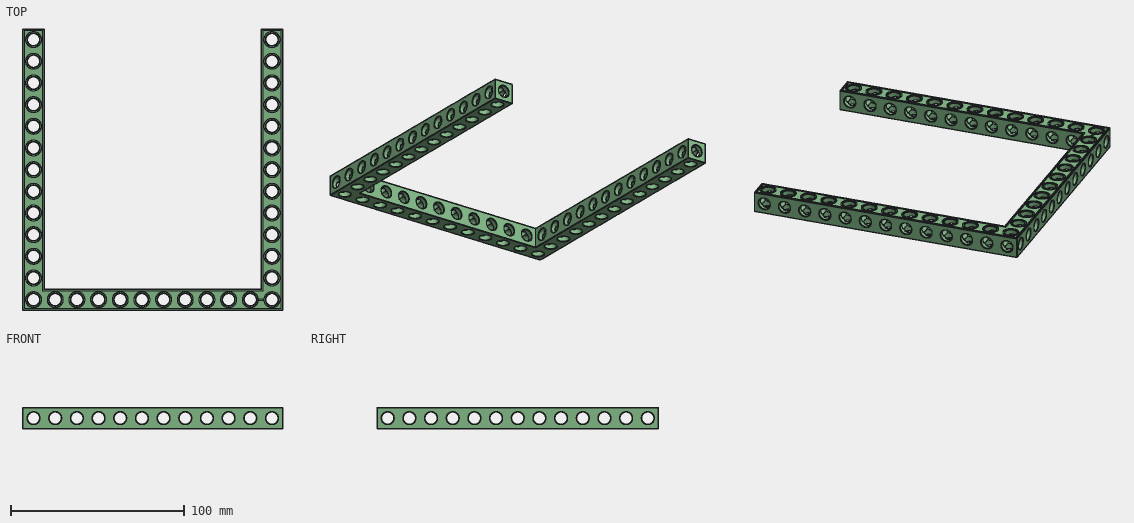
import cadquery as cq

PITCH = 12.5
CROSS_HOLES = 12
LEG_HOLES = 13
HOLE_DIAMETER = 7.0
LONG_HOLE_DIAMETER = 6.98
EDGE_CHAMFER = 0.3
RIM_DIAMETER = 9.2
RECESS_DEPTH = 0.2
BAR_LENGTH = 3.0

WIDTH = CROSS_HOLES * PITCH
LENGTH = LEG_HOLES * PITCH
HEIGHT = PITCH
MID_HEIGHT = HEIGHT / 2

RIM = (RIM_DIAMETER - HOLE_DIAMETER) / 2
BAR_WIDTH = RIM - EDGE_CHAMFER

CROSS_X = [(i + 0.5) * PITCH for i in range(CROSS_HOLES)]
LEG_Y = [(i + 0.5) * PITCH for i in range(LEG_HOLES)]
LEG_X = [CROSS_X[0], CROSS_X[-1]]
CROSS_Y = LEG_Y[0]
VERTICAL_HOLES = [(x, CROSS_Y) for x in CROSS_X]
VERTICAL_HOLES += [(x, y) for x in LEG_X for y in LEG_Y[1:]]


def u_prism(inset, bottom, height):
    """U-shaped prism, open towards +Y, with its outline moved inwards by inset."""
    left = inset
    right = WIDTH - inset
    inner_left = PITCH - inset
    inner_right = WIDTH - inner_left
    front = inset
    inner_front = PITCH - inset
    back = LENGTH - inset
    outline = [
        (left, front),
        (right, front),
        (right, back),
        (inner_right, back),
        (inner_right, inner_front),
        (inner_left, inner_front),
        (inner_left, back),
        (left, back),
    ]
    return cq.Workplane("XY").workplane(offset=bottom).polyline(outline).close().extrude(height)


def frame():
    """Solid frame with every outside edge chamfered; the two inner corners stay sharp."""
    body = u_prism(0, 0, HEIGHT)
    inner_corners = cq.selectors.BoxSelector(
        (PITCH / 2, PITCH / 2, HEIGHT / 4),
        (WIDTH - PITCH / 2, PITCH * 3 / 2, HEIGHT * 3 / 4),
    )
    return body.edges(cq.selectors.InverseSelector(inner_corners)).chamfer(EDGE_CHAMFER)


def hole(start, direction, length, diameter=HOLE_DIAMETER):
    """Cutter for a through hole, with a chamfered mouth at both ends."""
    radius = diameter / 2
    mouth = radius + EDGE_CHAMFER
    near = cq.Vector(*start)
    axis = cq.Vector(*direction)
    far = near + axis * length
    bore = cq.Solid.makeCylinder(radius, length, near, axis)
    near_mouth = cq.Solid.makeCone(mouth, radius, EDGE_CHAMFER, near, axis)
    far_mouth = cq.Solid.makeCone(mouth, radius, EDGE_CHAMFER, far, axis * -1)
    return bore.fuse(near_mouth, far_mouth)


def hole_cutters():
    """Holes along Z in every bar, across every bar, and lengthwise through every bar."""
    cutters = [hole((x, y, 0), (0, 0, 1), HEIGHT) for x, y in VERTICAL_HOLES]
    for x in CROSS_X[1:-1]:
        cutters.append(hole((x, 0, MID_HEIGHT), (0, 1, 0), PITCH))
    for y in LEG_Y[1:]:
        for leg_side in (0, WIDTH - PITCH):
            cutters.append(hole((leg_side, y, MID_HEIGHT), (1, 0, 0), PITCH))
    for x in LEG_X:
        cutters.append(hole((x, 0, MID_HEIGHT), (0, 1, 0), LENGTH, LONG_HOLE_DIAMETER))
    cutters.append(hole((0, CROSS_Y, MID_HEIGHT), (1, 0, 0), WIDTH, LONG_HOLE_DIAMETER))
    return cutters


def top_recess():
    """Shallow recess in the top face, inside an edge rim and around a ring at each hole."""
    floor = HEIGHT - RECESS_DEPTH
    rings = (
        cq.Workplane("XY")
        .workplane(offset=floor)
        .pushPoints(VERTICAL_HOLES)
        .circle(RIM_DIAMETER / 2)
        .extrude(RECESS_DEPTH)
    )
    short_bar = (
        cq.Workplane("XY")
        .workplane(offset=floor)
        .center((CROSS_X[-2] + CROSS_X[-1]) / 2, CROSS_Y)
        .rect(BAR_LENGTH, BAR_WIDTH)
        .extrude(RECESS_DEPTH)
    )
    return u_prism(RIM, floor, RECESS_DEPTH).cut(rings).cut(short_bar)


result = frame().cut(top_recess())
for cutter in hole_cutters():
    result = result.cut(cq.Workplane(obj=cutter))